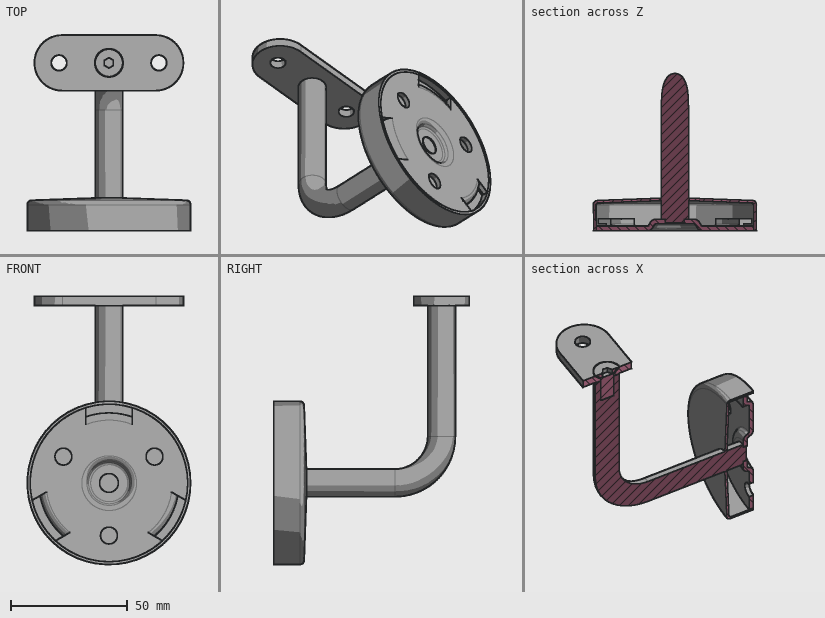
import cadquery as cq
import math

cover_radius = 35.02
cover_side_height = 11.2
cover_edge_fillet = 2.0
cover_apex_height = 14.4
cover_wall = 1.3

base_radius = cover_radius - cover_wall
sheet_thickness = 2.2
press_depth = 3.0
fixing_hole_diameter = 7.2
fixing_circle_radius = 22.5
fixing_angles = (30, 150, 270)

dish_floor_radius = 7.9
dish_wall_angle = 60
dish_mouth_bend = 2.5
dish_floor_bend = 1.0

tab_width = 20.0
tab_bend_start = 27.0
tab_bend_radius = press_depth
tab_angles = (90, 210, 330)

arm_diameter = 12.0
arm_bend_radius = 20.0
arm_reach = 72.0
arm_start = press_depth + sheet_thickness
spigot_diameter = 8.0
spigot_setback = 0.3
tapped_hole_diameter = 6.0
tapped_hole_depth = 11.5

overall_height = 115.0
plate_length = 63.9
plate_width = 23.9
plate_thickness = 4.0
plate_hole_diameter = 6.5
plate_hole_spacing = 42.8
plate_top = overall_height - cover_radius
plate_bottom = plate_top - plate_thickness

screw_head_diameter = 11.7
screw_clearance = 0.2
screw_shank_diameter = tapped_hole_diameter
socket_across_flats = 3.9
socket_depth = 2.5


def disc_cylinder(radius, start, end):
    """Cylinder about the Y axis between two Y positions."""
    return cq.Workplane("XZ", origin=(0, start, 0)).circle(radius).extrude(start - end)


def revolve_about_y(profile):
    """Close a profile drawn in the XY plane and revolve it fully about the Y axis."""
    return profile.close().revolve(360, (0, 0, 0), (0, 1, 0))


def dome(radius, corner_height, apex_height, fillet):
    """Solid disc about the Y axis with a shallow conical top and a rounded outer edge."""
    solid = revolve_about_y(
        cq.Workplane("XY")
        .lineTo(radius, 0)
        .lineTo(radius, corner_height)
        .lineTo(0, apex_height)
    )
    outer_edge = cq.selectors.RadiusNthSelector(-1)
    return solid.faces("%CONE").edges(outer_edge).fillet(fillet)


def make_cover():
    corner_height = cover_side_height + cover_edge_fillet
    outside = dome(cover_radius, corner_height, cover_apex_height, cover_edge_fillet)
    cavity = dome(
        cover_radius - cover_wall,
        corner_height - cover_wall,
        cover_apex_height - cover_wall,
        cover_edge_fillet - cover_wall,
    )
    return outside.cut(cavity).cut(disc_cylinder(arm_diameter / 2, 0, cover_apex_height))


def bend_point(centre, radius, turn):
    """Point on a bend around its centre, turned from the axis direction; negative radius faces -Y."""
    return (centre[0] + abs(radius) * math.sin(turn), centre[1] + radius * math.cos(turn))


def make_dish():
    """Dished middle of the sheet: floor, floor bend, sloping wall, mouth bend."""
    angle = math.radians(dish_wall_angle)
    floor_centre = (dish_floor_radius, press_depth - dish_floor_bend)
    bends = dish_mouth_bend + dish_floor_bend
    wall_run = (press_depth - bends * (1 - math.cos(angle))) / math.tan(angle)
    mouth_centre = (dish_floor_radius + bends * math.sin(angle) + wall_run, dish_mouth_bend)
    back_floor_bend = dish_floor_bend + sheet_thickness
    back_mouth_bend = dish_mouth_bend - sheet_thickness
    return revolve_about_y(
        cq.Workplane("XY")
        .moveTo(0, press_depth)
        .lineTo(*bend_point(floor_centre, dish_floor_bend, 0))
        .threePointArc(
            bend_point(floor_centre, dish_floor_bend, angle / 2),
            bend_point(floor_centre, dish_floor_bend, angle),
        )
        .lineTo(*bend_point(mouth_centre, -dish_mouth_bend, -angle))
        .threePointArc(
            bend_point(mouth_centre, -dish_mouth_bend, -angle / 2),
            bend_point(mouth_centre, -dish_mouth_bend, 0),
        )
        .lineTo(*bend_point(mouth_centre, -back_mouth_bend, 0))
        .threePointArc(
            bend_point(mouth_centre, -back_mouth_bend, -angle / 2),
            bend_point(mouth_centre, -back_mouth_bend, -angle),
        )
        .lineTo(*bend_point(floor_centre, back_floor_bend, angle))
        .threePointArc(
            bend_point(floor_centre, back_floor_bend, angle / 2),
            bend_point(floor_centre, back_floor_bend, 0),
        )
        .lineTo(0, press_depth + sheet_thickness)
    )


def tab_block():
    """Block as wide as a tab, reaching from the Y axis out beyond the +Z edge."""
    block = cq.Workplane("XY").box(tab_width, 4 * press_depth, 2 * base_radius)
    return block.translate((0, 0, base_radius))


def make_tab():
    """Tab at the +Z edge: a quarter bend down from the sheet, then a flat ledge out to the rim."""
    centre = (tab_bend_start, tab_bend_radius)
    back_bend = tab_bend_radius - sheet_thickness
    quarter = math.pi / 2
    ring = revolve_about_y(
        cq.Workplane("XY")
        .moveTo(*bend_point(centre, -tab_bend_radius, 0))
        .threePointArc(
            bend_point(centre, -tab_bend_radius, quarter / 2),
            bend_point(centre, -tab_bend_radius, quarter),
        )
        .lineTo(base_radius, press_depth)
        .lineTo(base_radius, press_depth + sheet_thickness)
        .lineTo(tab_bend_start + back_bend, press_depth + sheet_thickness)
        .lineTo(*bend_point(centre, -back_bend, quarter))
        .threePointArc(
            bend_point(centre, -back_bend, quarter / 2),
            bend_point(centre, -back_bend, 0),
        )
    )
    return ring.intersect(tab_block())


def make_base():
    sheet = disc_cylinder(base_radius, 0, sheet_thickness)
    tab_opening = tab_block().cut(disc_cylinder(tab_bend_start, -4 * press_depth, 4 * press_depth))
    tab = make_tab()
    for angle in tab_angles:
        turn = 90 - angle
        sheet = sheet.cut(tab_opening.rotate((0, 0, 0), (0, 1, 0), turn))
        sheet = sheet.union(tab.rotate((0, 0, 0), (0, 1, 0), turn))
    for angle in fixing_angles:
        x = fixing_circle_radius * math.cos(math.radians(angle))
        z = fixing_circle_radius * math.sin(math.radians(angle))
        hole = disc_cylinder(fixing_hole_diameter / 2, 0, sheet_thickness)
        sheet = sheet.cut(hole.translate((x, 0, z)))
    dish = make_dish()
    mouth_radius = dish.val().BoundingBox().xmax
    sheet = sheet.cut(disc_cylinder(mouth_radius, 0, sheet_thickness)).union(dish)
    return sheet.cut(disc_cylinder(spigot_diameter / 2, 0, arm_start))


def make_arm():
    path = (
        cq.Workplane("YZ")
        .moveTo(arm_start, 0)
        .lineTo(arm_reach - arm_bend_radius, 0)
        .radiusArc((arm_reach, arm_bend_radius), -arm_bend_radius)
        .lineTo(arm_reach, plate_bottom)
    )
    arm = cq.Workplane("XZ", origin=(0, arm_start, 0)).circle(arm_diameter / 2).sweep(path)
    spigot = disc_cylinder(spigot_diameter / 2, press_depth + spigot_setback, arm_start)
    tapped_hole = (
        cq.Workplane("XY", origin=(0, arm_reach, plate_bottom))
        .circle(tapped_hole_diameter / 2)
        .extrude(-tapped_hole_depth)
    )
    return arm.union(spigot).cut(tapped_hole)


def countersunk_shape(head_diameter, shank_end):
    """Solid of a countersunk head and shank, its top flush with the plate."""
    head_radius = head_diameter / 2
    shank_radius = screw_shank_diameter / 2
    return (
        cq.Workplane("XZ")
        .lineTo(head_radius, 0)
        .lineTo(shank_radius, shank_radius - head_radius)
        .lineTo(shank_radius, shank_end)
        .lineTo(0, shank_end)
        .close()
        .revolve(360, (0, 0, 0), (0, 1, 0))
        .translate((0, arm_reach, plate_top))
    )


def make_plate():
    plate = (
        cq.Workplane("XY", origin=(0, arm_reach, plate_bottom))
        .slot2D(plate_length, plate_width)
        .extrude(plate_thickness)
        .faces(">Z")
        .workplane(origin=(0, arm_reach, plate_top))
        .pushPoints([(-plate_hole_spacing / 2, 0), (plate_hole_spacing / 2, 0)])
        .hole(plate_hole_diameter)
    )
    return plate.cut(countersunk_shape(screw_head_diameter + 2 * screw_clearance, -plate_thickness))


def make_screw():
    screw = countersunk_shape(screw_head_diameter, -plate_thickness - tapped_hole_depth)
    socket = (
        cq.Workplane("XY", origin=(0, arm_reach, plate_top))
        .transformed(rotate=(0, 0, 90))
        .polygon(6, socket_across_flats / math.cos(math.pi / 6))
        .extrude(-socket_depth)
    )
    return screw.cut(socket)


cover = make_cover()
base = make_base()
arm = make_arm()
plate = make_plate()
screw = make_screw()

result = cq.Compound.makeCompound([cover.val(), base.val(), arm.val(), plate.val(), screw.val()])